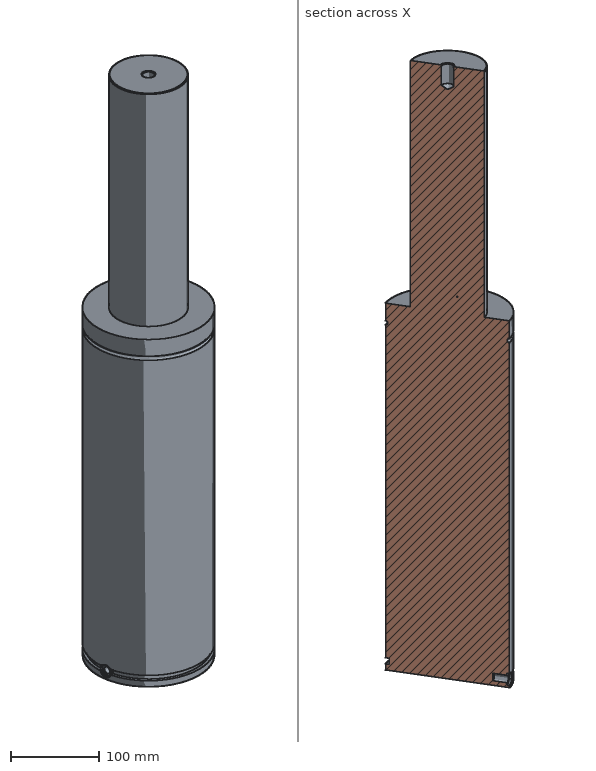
import cadquery as cq
import math

total_height = 755.0
body_diameter = 150.0
rod_diameter = 90.0
rod_extension = 303.0
body_height = total_height - rod_extension

rod_chamfer = 1.0

base_groove_bottom = 8.0
base_groove_width = 7.0
base_groove_depth = 4.0
cap_groove_width = 5.0
cap_groove_depth = 2.5
cap_height = 22.0
cap_groove_bottom = body_height - cap_height - cap_groove_width

rod_hole_diameter = 14.0
rod_hole_mouth_diameter = 16.0
rod_hole_depth = 25.0
drill_point_angle = 118.0

port_height = 10.5
port_plug_diameter = 16.0
port_mouth_diameter = 14.0
port_mouth_depth = 3.0
port_diameter = 8.5
port_depth = 20.0


def make_body():
    """Plain cylinder body standing on the XY plane."""
    return cq.Workplane("XY").circle(body_diameter / 2).extrude(body_height)


def make_rod():
    """Piston rod standing on the body, chamfered at its free end."""
    rod = cq.Workplane("XY").workplane(offset=body_height).circle(rod_diameter / 2).extrude(rod_extension)
    return rod.faces(">Z").edges().chamfer(rod_chamfer)


def make_base_groove():
    """Square-sided ring removed from the body surface near its base."""
    return (
        cq.Workplane("XY")
        .workplane(offset=base_groove_bottom)
        .circle(body_diameter / 2)
        .circle(body_diameter / 2 - base_groove_depth)
        .extrude(base_groove_width)
    )


def make_cap_groove():
    """Round-bottomed ring removed from the body surface below the end cap."""
    radius = body_diameter / 2
    profile = (
        cq.Workplane("XZ")
        .moveTo(radius, cap_groove_bottom)
        .threePointArc(
            (radius - cap_groove_depth, cap_groove_bottom + cap_groove_width / 2),
            (radius, cap_groove_bottom + cap_groove_width),
        )
        .close()
    )
    return profile.revolve(360, (0, 0, 0), (0, 1, 0))


def make_rod_hole():
    """Blind hole with a 45 degree countersunk mouth and a drill point, running down from the rod end."""
    mouth_depth = (rod_hole_mouth_diameter - rod_hole_diameter) / 2
    hole = cq.Workplane("XY").workplane(offset=total_height - rod_hole_depth)
    hole = hole.circle(rod_hole_diameter / 2).extrude(rod_hole_depth)
    mouth = cq.Solid.makeCone(
        rod_hole_diameter / 2,
        rod_hole_mouth_diameter / 2,
        mouth_depth,
        pnt=cq.Vector(0, 0, total_height - mouth_depth),
    )
    point_depth = rod_hole_diameter / 2 / math.tan(math.radians(drill_point_angle / 2))
    point = cq.Solid.makeCone(
        rod_hole_diameter / 2,
        0,
        point_depth,
        pnt=cq.Vector(0, 0, total_height - rod_hole_depth),
        dir=cq.Vector(0, 0, -1),
    )
    return hole.union(cq.Workplane(mouth)).union(cq.Workplane(point))


def make_port_plug():
    """Solid plug across the base groove, flat on its -Y end."""
    surface = cq.Workplane("XZ", origin=(0, -body_diameter / 2, port_height))
    return surface.circle(port_plug_diameter / 2).extrude(-port_depth)


def make_port():
    """Stepped blind hole entering the body from the -Y side."""
    surface = cq.Workplane("XZ", origin=(0, -body_diameter / 2, port_height))
    mouth = surface.circle(port_mouth_diameter / 2).extrude(-port_mouth_depth)
    bore = surface.circle(port_diameter / 2).extrude(-port_depth)
    return mouth.union(bore)


result = make_body().union(make_rod())
result = result.cut(make_base_groove()).cut(make_cap_groove())
result = result.union(make_port_plug())
result = result.cut(make_rod_hole())
result = result.cut(make_port())